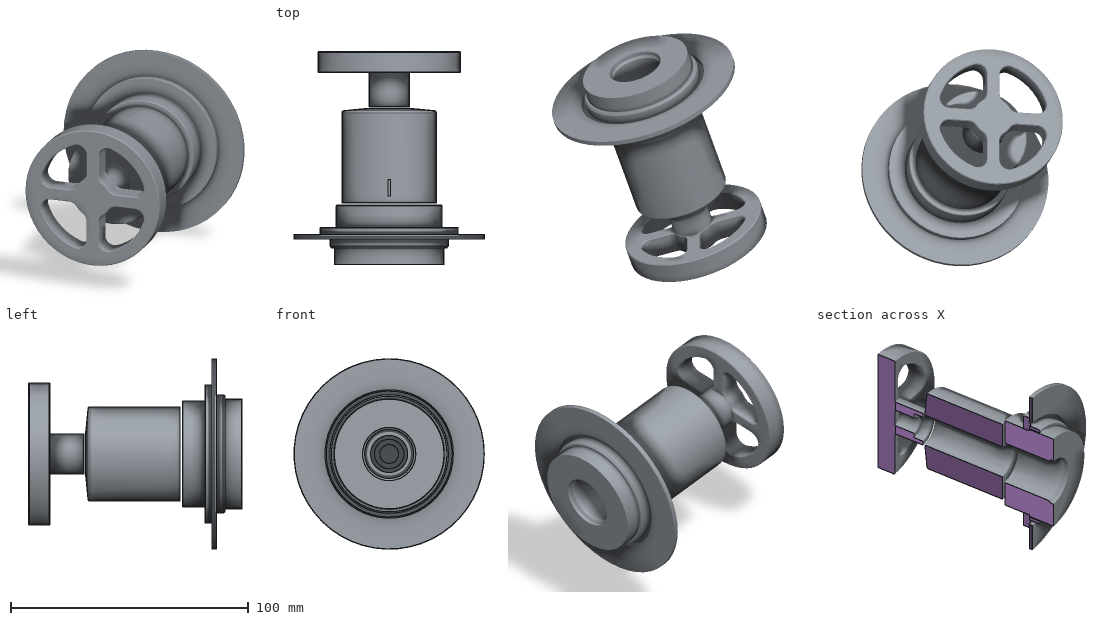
import cadquery as cq


CORE_FRONT_R = 23.0
CORE_REAR_R = 22.3
CORE_LENGTH = 25.0
CORE_EDGE_FILLET = 0.5
BORE_R = 10.3
BORE_MOUTH_R = 11.2
BORE_MOUTH_DEPTH = 1.6

PLATE_R = 40.01
PLATE_THICKNESS = 1.0
FRONT_PLATE_HOLE_R = 27.0
PLATE_LIP_R = FRONT_PLATE_HOLE_R + PLATE_THICKNESS
FRONT_PLATE_Y = 10.7
REAR_PLATE_Y = FRONT_PLATE_Y + PLATE_THICKNESS

FLANGE_R = 29.0
FLANGE_THICKNESS = 2.9
FLANGE_CHAMFER = 0.2
FLANGE_FRONT_Y = REAR_PLATE_Y + PLATE_THICKNESS
FLANGE_BOSS_R = 26.4
FLANGE_BOSS_Y = REAR_PLATE_Y

FRONT_RING_CLEARANCE = 0.1
FRONT_RING_BORE_R = CORE_FRONT_R + FRONT_RING_CLEARANCE
FRONT_RING_R = 24.9
FRONT_RING_Y = 7.0
FRONT_RING_CHAMFER_RADIAL = 0.6
FRONT_RING_CHAMFER_AXIAL = 0.9

SLEEVE_R = 19.8
SLEEVE_HOLE_R = 7.8
SLEEVE_GAP = 0.9
SLEEVE_FRONT_Y = CORE_LENGTH + SLEEVE_GAP
SLEEVE_SHOULDER_Y = 64.6
SLEEVE_REAR_Y = 65.8
SLEEVE_EDGE_FILLET = 0.9
SLOT_WIDTH = 1.2
SLOT_LENGTH = 7.1
SLOT_DEPTH = 0.1
SLOT_FROM_SLEEVE_FRONT = 2.9

WHEEL_R = 29.9
WHEEL_THICKNESS = 9.0
WHEEL_REAR_Y = 89.6
WHEEL_FRONT_Y = WHEEL_REAR_Y - WHEEL_THICKNESS
RIM_INNER_R = 24.0
HUB_R = 8.47
SPOKE_WIDTH = 5.5
SPOKE_COUNT = 4
SPOKE_PITCH_ANGLE = 360 / SPOKE_COUNT
WINDOW_FILLET = 4.0
WHEEL_EDGE_CHAMFER = 0.4

STEM_R = HUB_R
STEM_FRONT_Y = 66.4
STEM_BORE_R = 3.9
STEM_COUNTERBORE_R = 6.2
STEM_COUNTERBORE_DEPTH = 4.5


def revolved(profile):
    """Revolve a closed (radius, y) polygon about the Y axis."""
    return cq.Workplane("XY").polyline(profile).close().revolve(360, (0, 0, 0), (0, 1, 0))


def ring(inner_r, outer_r, front_y, rear_y):
    """Plain ring about the Y axis."""
    return revolved([(inner_r, front_y), (outer_r, front_y), (outer_r, rear_y), (inner_r, rear_y)])


def make_core():
    cone_end_y = BORE_MOUTH_DEPTH + BORE_MOUTH_R - BORE_R
    core = revolved([
        (BORE_MOUTH_R, 0),
        (CORE_FRONT_R, 0),
        (CORE_FRONT_R, FLANGE_FRONT_Y),
        (CORE_REAR_R, FLANGE_FRONT_Y),
        (CORE_REAR_R, CORE_LENGTH),
        (BORE_R, CORE_LENGTH),
        (BORE_R, cone_end_y),
        (BORE_MOUTH_R, BORE_MOUTH_DEPTH),
    ])
    outer_rear_edge = cq.selectors.RadiusNthSelector(-1)
    return core.faces(">Y").edges(outer_rear_edge).fillet(CORE_EDGE_FILLET)


def make_flange():
    flange = ring(CORE_REAR_R, FLANGE_R, FLANGE_FRONT_Y, FLANGE_FRONT_Y + FLANGE_THICKNESS)
    outer_rear_edge = cq.selectors.RadiusNthSelector(-1)
    flange = flange.faces(">Y").edges(outer_rear_edge).chamfer(FLANGE_CHAMFER)
    return flange.union(ring(FRONT_RING_R, FLANGE_BOSS_R, FLANGE_BOSS_Y, FLANGE_FRONT_Y))


def make_front_plate():
    disc = ring(FRONT_PLATE_HOLE_R, PLATE_R, FRONT_PLATE_Y, REAR_PLATE_Y)
    lip = ring(FRONT_PLATE_HOLE_R, PLATE_LIP_R, FRONT_PLATE_Y, FLANGE_FRONT_Y)
    return disc.union(lip)


def make_rear_plate():
    return ring(PLATE_LIP_R, PLATE_R, REAR_PLATE_Y, FLANGE_FRONT_Y)


def make_front_ring():
    return revolved([
        (FRONT_RING_BORE_R, FRONT_RING_Y),
        (FRONT_RING_R - FRONT_RING_CHAMFER_RADIAL, FRONT_RING_Y),
        (FRONT_RING_R, FRONT_RING_Y + FRONT_RING_CHAMFER_AXIAL),
        (FRONT_RING_R, FLANGE_FRONT_Y),
        (FRONT_RING_BORE_R, FLANGE_FRONT_Y),
    ])


def make_sleeve():
    sleeve = revolved([
        (SLEEVE_HOLE_R, SLEEVE_FRONT_Y),
        (SLEEVE_R, SLEEVE_FRONT_Y),
        (SLEEVE_R, SLEEVE_SHOULDER_Y),
        (SLEEVE_HOLE_R, SLEEVE_REAR_Y),
    ])
    outer_edges = cq.selectors.RadiusNthSelector(-1)
    sleeve = sleeve.edges("%CIRCLE").edges(outer_edges).edges(">Y").fillet(SLEEVE_EDGE_FILLET)
    slot_y = SLEEVE_FRONT_Y + SLOT_FROM_SLEEVE_FRONT
    slot = (
        cq.Workplane("XY", origin=(0, slot_y + SLOT_LENGTH / 2, SLEEVE_R - SLOT_DEPTH))
        .rect(SLOT_WIDTH, SLOT_LENGTH)
        .extrude(2 * SLOT_DEPTH)
    )
    return sleeve.cut(slot)


def make_stem():
    counterbore_end_y = STEM_FRONT_Y + STEM_COUNTERBORE_DEPTH
    stem = ring(STEM_BORE_R, STEM_R, STEM_FRONT_Y, WHEEL_FRONT_Y)
    return stem.cut(ring(0, STEM_COUNTERBORE_R, STEM_FRONT_Y, counterbore_end_y))


def make_window():
    """Opening between two spokes: a ring quadrant, inset by half a spoke, with rounded corners."""
    half_spoke = SPOKE_WIDTH / 2
    quadrant = (
        cq.Workplane("XZ", origin=(0, WHEEL_REAR_Y, 0))
        .moveTo(half_spoke, half_spoke)
        .rect(RIM_INNER_R, RIM_INNER_R, centered=False)
        .extrude(WHEEL_THICKNESS)
    )
    window = quadrant.intersect(ring(HUB_R, RIM_INNER_R, WHEEL_FRONT_Y, WHEEL_REAR_Y))
    return window.edges("|Y").fillet(WINDOW_FILLET)


def make_wheel():
    wheel = ring(0, WHEEL_R, WHEEL_FRONT_Y, WHEEL_REAR_Y)
    window = make_window()
    for index in range(SPOKE_COUNT):
        wheel = wheel.cut(window.rotate((0, 0, 0), (0, 1, 0), index * SPOKE_PITCH_ANGLE))
    return wheel.faces("<Y or >Y").edges().chamfer(WHEEL_EDGE_CHAMFER)


core = make_core()
front_ring = make_front_ring()
front_plate = make_front_plate()
rear_plate = make_rear_plate()
flange = make_flange()
sleeve = make_sleeve()
stem = make_stem()
wheel = make_wheel()

bodies = [core, front_ring, front_plate, rear_plate, flange, sleeve, stem, wheel]
result = cq.Compound.makeCompound([body.solids().val() for body in bodies])